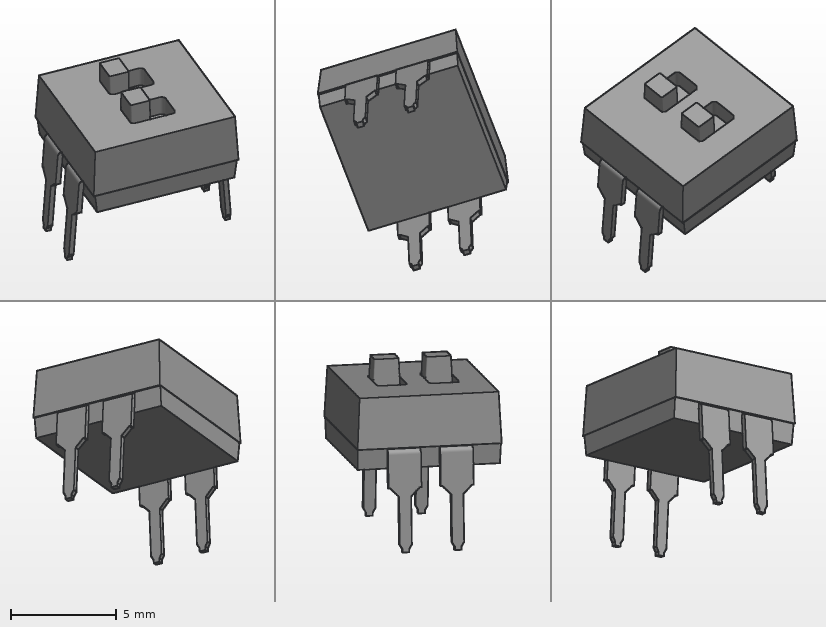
import cadquery as cq
import math


CAP_HEIGHT = 2.49
CAP_BOTTOM_X = 7.01
CAP_BOTTOM_Y = 7.5
CAP_TOP_X = 6.77
CAP_TOP_Y = 7.24
BASE_HEIGHT = 1.01
BASE_TOP_X = 6.97
BASE_TOP_Y = 7.34
BASE_BOTTOM_X = 6.92
BASE_BOTTOM_Y = 7.11

PITCH = 2.54
POSITIONS_CENTRE_X = -0.02
POSITIONS_X = [POSITIONS_CENTRE_X - PITCH / 2, POSITIONS_CENTRE_X + PITCH / 2]

SLOT_WIDTH = 1.46
SLOT_LENGTH = 2.31
SLOT_DEPTH = 1.0
SLOT_CORNER_RADIUS = 0.2
SLOT_CENTRE_Y = 0.02
SLOT_FLOOR_Z = CAP_HEIGHT - SLOT_DEPTH

KNOB_PROTRUSION = 1.0
KNOB_HEIGHT = SLOT_DEPTH + KNOB_PROTRUSION
KNOB_LENGTH = 1.0
KNOB_FLOOR_WIDTH = 1.39
KNOB_TOP_WIDTH = 1.19
KNOB_EDGE_RADIUS = 0.05
KNOB_END_GAP = 0.02
KNOB_CENTRE_Y = SLOT_CENTRE_Y - SLOT_LENGTH / 2 + KNOB_END_GAP + KNOB_LENGTH / 2

SPLAY_ANGLE = math.radians(4)
LEAD_SPAN = 8.44
TOTAL_HEIGHT = 8.5
LEAD_THICKNESS = 0.255
LEAD_TOP_Z = -0.04
LEAD_EMBED = 0.425
BLADE_WIDTH = 1.6
SHANK_WIDTH = 0.59
TIP_WIDTH = 0.32
LEDGE_WIDTH = 0.085
BLADE_END = 1.615
SHANK_START = BLADE_END + (BLADE_WIDTH - SHANK_WIDTH) / 2 - LEDGE_WIDTH
SHANK_END = 4.335
TIP_START = 4.56

BEND_Z = LEAD_TOP_Z - LEAD_THICKNESS
LEAD_TIP_Z = CAP_HEIGHT + KNOB_PROTRUSION - TOTAL_HEIGHT
LEG_LENGTH = (BEND_Z - LEAD_TIP_Z) / math.cos(SPLAY_ANGLE)
BEND_Y = (
    LEAD_SPAN / 2
    - LEG_LENGTH * math.sin(SPLAY_ANGLE)
    - LEAD_THICKNESS * math.cos(SPLAY_ANGLE)
)


def tapered_block(size_x, size_y, end_x, end_y, height):
    """Frustum from a rectangle at Z = 0 to another one at Z = height."""
    return (
        cq.Workplane("XY")
        .rect(size_x, size_y)
        .workplane(offset=height)
        .rect(end_x, end_y)
        .loft(ruled=True)
    )


def make_housing():
    cap = tapered_block(CAP_BOTTOM_X, CAP_BOTTOM_Y, CAP_TOP_X, CAP_TOP_Y, CAP_HEIGHT)
    base = tapered_block(BASE_TOP_X, BASE_TOP_Y, BASE_BOTTOM_X, BASE_BOTTOM_Y, -BASE_HEIGHT)
    return cap.union(base)


def make_slot(x):
    return (
        cq.Workplane("XY", origin=(x, SLOT_CENTRE_Y, SLOT_FLOOR_Z))
        .rect(SLOT_WIDTH, SLOT_LENGTH)
        .extrude(SLOT_DEPTH)
        .edges("|Z")
        .fillet(SLOT_CORNER_RADIUS)
    )


def make_knob(x):
    block = tapered_block(KNOB_FLOOR_WIDTH, KNOB_LENGTH, KNOB_TOP_WIDTH, KNOB_LENGTH, KNOB_HEIGHT)
    rounded = block.edges("not(#Z)").fillet(KNOB_EDGE_RADIUS)
    return rounded.translate((x, KNOB_CENTRE_Y, SLOT_FLOOR_Z))


def make_front_lead(x):
    """Lead on the -Y side: horizontal stub and bend, then the splayed leg."""
    cos_splay = math.cos(SPLAY_ANGLE)
    sin_splay = math.sin(SPLAY_ANGLE)
    mid_angle = (math.pi / 2 + SPLAY_ANGLE) / 2
    bend_mid = (
        -BEND_Y - LEAD_THICKNESS * math.cos(mid_angle),
        BEND_Z + LEAD_THICKNESS * math.sin(mid_angle),
    )
    bend_end = (-BEND_Y - LEAD_THICKNESS * cos_splay, BEND_Z + LEAD_THICKNESS * sin_splay)
    stub_and_bend = (
        cq.Workplane("YZ", origin=(x, 0, 0))
        .moveTo(-BEND_Y, BEND_Z)
        .lineTo(-BEND_Y + LEAD_EMBED, BEND_Z)
        .lineTo(-BEND_Y + LEAD_EMBED, LEAD_TOP_Z)
        .lineTo(-BEND_Y, LEAD_TOP_Z)
        .threePointArc(bend_mid, bend_end)
        .close()
        .extrude(BLADE_WIDTH / 2, both=True)
    )

    leg_plane = cq.Plane(
        origin=(x, -BEND_Y, BEND_Z), xDir=(1, 0, 0), normal=(0, -cos_splay, sin_splay)
    )
    right_side = [
        (BLADE_WIDTH / 2, 0),
        (BLADE_WIDTH / 2, -BLADE_END),
        (BLADE_WIDTH / 2 - LEDGE_WIDTH, -BLADE_END),
        (SHANK_WIDTH / 2, -SHANK_START),
        (SHANK_WIDTH / 2, -SHANK_END),
        (TIP_WIDTH / 2, -TIP_START),
        (TIP_WIDTH / 2, -LEG_LENGTH),
    ]
    left_side = [(-across, along) for across, along in reversed(right_side)]
    leg = cq.Workplane(leg_plane).polyline(right_side + left_side).close().extrude(LEAD_THICKNESS)
    return stub_and_bend.union(leg)


result = make_housing()
for position_x in POSITIONS_X:
    front_lead = make_front_lead(position_x)
    result = (
        result.cut(make_slot(position_x))
        .union(make_knob(position_x))
        .union(front_lead)
        .union(front_lead.mirror("XZ"))
    )